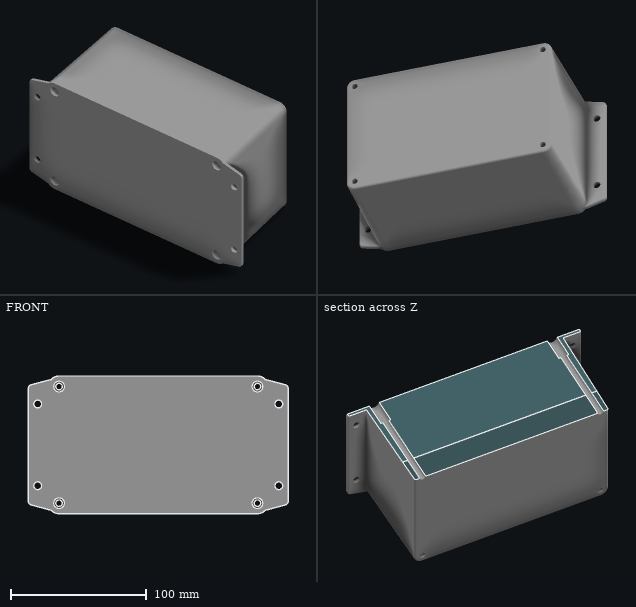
import cadquery as cq
import math

FLANGE_LENGTH = 191.6
BOX_HEIGHT = 101.5
TOTAL_DEPTH = 81.0
LID_DEPTH = 20.0
BASE_DEPTH = TOTAL_DEPTH - LID_DEPTH
DRAFT_ANGLE = 1.0

CORNER_RADIUS = 7.9
SCREW_X = 73.0
SCREW_Z = BOX_HEIGHT / 2 - CORNER_RADIUS
SCREW_HOLE_DIAMETER = 4.6
HEAD_RECESS_DIAMETER = 7.9
HEAD_RECESS_DEPTH = 19.2

LID_EDGE_FILLET = 1.5

FLANGE_THICKNESS = 2.9
FLANGE_END_HEIGHT = 87.4
FLANGE_SLOPE_ANGLE = 15.0
FLANGE_CORNER_RADIUS = 3.3
FLANGE_EDGE_FILLET = 1.1
MOUNT_HOLE_X = 88.7
MOUNT_HOLE_Z = 30.0
MOUNT_HOLE_DIAMETER = 5.5


def plane_at(depth):
    """Plane parallel to the mounting face, with its normal along +Y."""
    return cq.Workplane(cq.Plane(origin=(0, depth, 0), xDir=(1, 0, 0), normal=(0, 1, 0)))


def drafted_block(start, depth):
    """Round-cornered slice of the tapered box, from Y = start to Y = start + depth."""
    radius = CORNER_RADIUS - start * math.tan(math.radians(DRAFT_ANGLE))
    outline = cq.Sketch().rect(2 * (SCREW_X + radius), 2 * (SCREW_Z + radius)).vertices().fillet(radius)
    return plane_at(start).placeSketch(outline).extrude(depth, taper=DRAFT_ANGLE)


def mirrored_cylinders(x, z, diameter, start, depth):
    """Four cylinders along Y, one in each quadrant."""
    centers = plane_at(start).rect(2 * x, 2 * z, forConstruction=True).vertices()
    return centers.circle(diameter / 2).extrude(depth)


def make_flange():
    """Flat plate whose ends stick out past the box as mounting ears."""
    tip_x = FLANGE_LENGTH / 2
    tip_z = FLANGE_END_HEIGHT / 2
    root_x = SCREW_X
    root_z = tip_z + (tip_x - root_x) * math.tan(math.radians(FLANGE_SLOPE_ANGLE))
    plate = (
        plane_at(0)
        .polyline([
            (-tip_x, -tip_z), (-root_x, -root_z), (root_x, -root_z), (tip_x, -tip_z),
            (tip_x, tip_z), (root_x, root_z), (-root_x, root_z), (-tip_x, tip_z),
        ])
        .close()
        .extrude(FLANGE_THICKNESS)
    )
    ear_tips = plate.faces("<X or >X").edges("|Y")
    plate = ear_tips.fillet(FLANGE_CORNER_RADIUS)
    return plate.faces(">Y").edges().fillet(FLANGE_EDGE_FILLET)


def make_base():
    """Box with mounting ears, screw holes and recesses for the screw heads."""
    base = drafted_block(0, BASE_DEPTH).union(make_flange())
    base = base.cut(mirrored_cylinders(SCREW_X, SCREW_Z, SCREW_HOLE_DIAMETER, 0, BASE_DEPTH))
    base = base.cut(mirrored_cylinders(SCREW_X, SCREW_Z, HEAD_RECESS_DIAMETER, 0, HEAD_RECESS_DEPTH))
    return base.cut(mirrored_cylinders(MOUNT_HOLE_X, MOUNT_HOLE_Z, MOUNT_HOLE_DIAMETER, 0, FLANGE_THICKNESS))


def make_lid():
    """Cover that continues the drafted walls, with a rounded outer rim."""
    lid = drafted_block(BASE_DEPTH, LID_DEPTH).faces(">Y").edges().fillet(LID_EDGE_FILLET)
    return lid.cut(mirrored_cylinders(SCREW_X, SCREW_Z, SCREW_HOLE_DIAMETER, BASE_DEPTH, LID_DEPTH))


base = make_base()
lid = make_lid()
result = cq.Compound.makeCompound([base.val(), lid.val()])